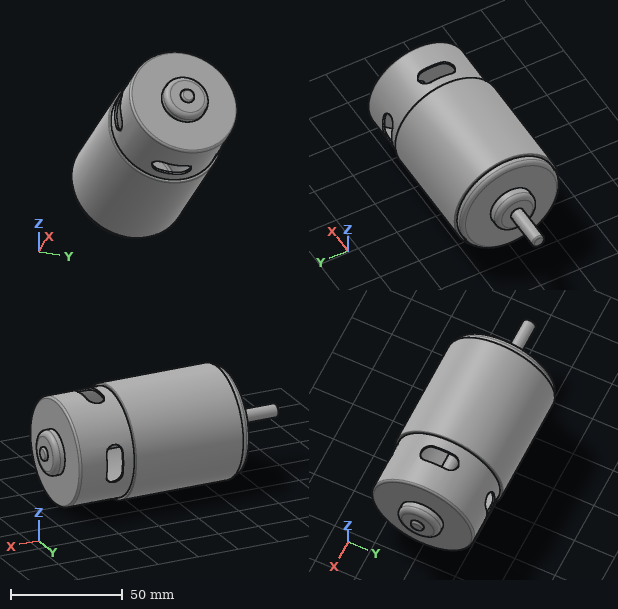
import cadquery as cq


shaft_length = 116.8
shaft_diameter = 6.4
shaft_end_round = 0.8
shaft_front = -shaft_length / 2

can_diameter = 51.0
can_bore_diameter = 49.0
wall = (can_diameter - can_bore_diameter) / 2
can_front = shaft_front + 25.3
can_length = 85.3
can_rear = can_front + can_length
front_round = 2.0
rear_round = wall

band_diameter = 53.7
band_length = 54.0
band_front = can_front + 4.1
band_edge_round = 0.4

boss_diameter = 21.0
front_boss_length = 5.6
rear_boss_length = 4.9
boss_round = 2.5

slot_count = 4
slot_width = 8.2
slot_length = 18.2
slot_centre = can_rear - 17.8


def cylinder(front, length, diameter):
    """Cylinder on the X axis, starting at x = front."""
    return cq.Workplane("YZ", origin=(front, 0, 0)).circle(diameter / 2).extrude(length)


def make_bosses():
    front_boss = cylinder(can_front - front_boss_length, front_boss_length + wall, boss_diameter)
    rear_boss = cylinder(can_rear - wall, rear_boss_length + wall, boss_diameter)
    return front_boss.faces("<X").edges().fillet(boss_round).union(
        rear_boss.faces(">X").edges().fillet(boss_round)
    )


def make_slot_cutter(angle):
    """Radial cutter for one slot, elongated around the can."""
    return (
        cq.Workplane("XY", origin=(slot_centre, 0, 0))
        .slot2D(slot_length, slot_width, 90)
        .extrude(can_diameter)
        .rotate((0, 0, 0), (1, 0, 0), angle)
    )


def make_housing():
    can = cylinder(can_front, can_length, can_diameter)
    can = can.faces("<X").edges().fillet(front_round)
    can = can.faces(">X").edges().fillet(rear_round)
    band = cylinder(band_front, band_length, band_diameter)
    band = band.faces("<X or >X").edges().fillet(band_edge_round)
    cavity = cylinder(can_front + wall, can_length - 2 * wall, can_bore_diameter)
    cavity = cavity.faces("<X").edges().fillet(front_round - wall)

    housing = can.union(band).cut(cavity).union(make_bosses())
    for index in range(slot_count):
        housing = housing.cut(make_slot_cutter(index * 360 / slot_count))
    return housing.cut(cylinder(shaft_front, shaft_length, shaft_diameter))


def make_shaft():
    shaft = cylinder(shaft_front, shaft_length, shaft_diameter)
    return shaft.faces("<X or >X").edges().fillet(shaft_end_round)


housing = make_housing()
shaft = make_shaft()

result = cq.Compound.makeCompound([housing.val(), shaft.val()])